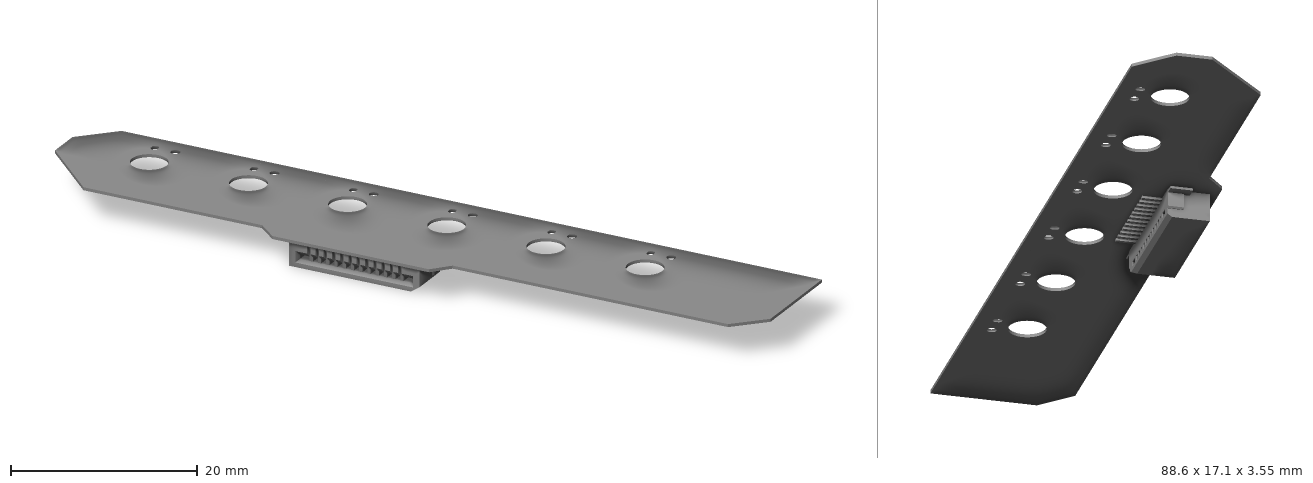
import cadquery as cq


board_length = 88.6
board_depth = 15.15
board_thickness = 0.35
tab_reach = 2.0
tab_left = 31.2
tab_right = 50.15
tab_left_slant = 2.3
tab_right_slant = 1.8
rear_left_corner = 3.9
front_left_corner = 7.3
front_right_corner = 3.4

group_count = 6
first_group_x = 10.4
last_group_x = 70.35
group_pitch = (last_group_x - first_group_x) / (group_count - 1)
large_hole_diameter = 4.2
large_hole_y = -5.9
small_hole_diameter = 1.1
small_row_y = -2.3
small_hole_offset = 1.2
slot_offset = -small_hole_offset
slot_width = 0.8
slot_length = 1.1

housing_left = 32.7
housing_width = 15.8
housing_rear = -11.5
housing_front = -16.2
housing_height = 3.2
end_corner_width = 1.1
end_corner_height = 0.7
rear_chamfer_depth = 0.5
rear_chamfer_height = 0.35

side_block_reach = 0.3
side_block_depth = 1.8
side_block_height = 2.2
side_block_bevel = 0.2
ear_reach = 1.3
ear_depth = 2.5
ear_thickness = 0.3
ear_gap = 0.2

opening_width = 13.7
opening_top = -1.9
opening_bottom = -2.4
mouth_side_flare = 0.3
mouth_top_flare = 0.5
mouth_bottom_flare = 0.3
mouth_depth = 0.5

contact_count = 12
contact_span = 11.0
contact_pitch = contact_span / (contact_count - 1)
contact_width = 0.4
contact_top = -0.4
contact_recess = 0.5
tail_length = 2.2
tail_thickness = 0.3

housing_right = housing_left + housing_width
housing_center = housing_left + housing_width / 2
housing_bottom = -housing_height


def block(x0, x1, y0, y1, z0, z1):
    """Axis-aligned box given by its limits."""
    return cq.Workplane("XY").box(x1 - x0, y1 - y0, z1 - z0, centered=False).translate((x0, y0, z0))


def make_board():
    tab_front = -board_depth - tab_reach
    outline = [
        (rear_left_corner, 0),
        (board_length, 0),
        (board_length, front_right_corner - board_depth),
        (board_length - front_right_corner, -board_depth),
        (tab_right + tab_right_slant, -board_depth),
        (tab_right, tab_front),
        (tab_left, tab_front),
        (tab_left - tab_left_slant, -board_depth),
        (front_left_corner, -board_depth),
        (0, front_left_corner - board_depth),
        (0, -rear_left_corner),
    ]
    board = cq.Workplane("XY").polyline(outline).close().extrude(board_thickness)

    group_xs = [first_group_x + i * group_pitch for i in range(group_count)]
    large_holes = (
        cq.Workplane("XY")
        .pushPoints([(x, large_hole_y) for x in group_xs])
        .circle(large_hole_diameter / 2)
        .extrude(board_thickness)
    )
    small_holes = (
        cq.Workplane("XY")
        .pushPoints([(x + small_hole_offset, small_row_y) for x in group_xs])
        .circle(small_hole_diameter / 2)
        .extrude(board_thickness)
    )
    slots = (
        cq.Workplane("XY")
        .pushPoints([(x + slot_offset, small_row_y) for x in group_xs])
        .slot2D(slot_length, slot_width, 90)
        .extrude(board_thickness)
    )
    return board.cut(large_holes).cut(small_holes).cut(slots)


def make_housing_shell():
    """Closed housing block with its cut corner and rear bevel."""
    front_profile = [
        (housing_left, 0),
        (housing_right, 0),
        (housing_right, housing_bottom + end_corner_height),
        (housing_right - end_corner_width, housing_bottom),
        (housing_left, housing_bottom),
    ]
    shell = (
        cq.Workplane("XZ", origin=(0, housing_rear, 0))
        .polyline(front_profile)
        .close()
        .extrude(housing_rear - housing_front)
    )
    rear_bevel = (
        cq.Workplane("YZ", origin=(housing_left, 0, 0))
        .polyline([
            (housing_rear, housing_bottom),
            (housing_rear - rear_chamfer_depth, housing_bottom),
            (housing_rear, housing_bottom + rear_chamfer_height),
        ])
        .close()
        .extrude(housing_width)
    )
    return shell.cut(rear_bevel)


def make_side_mounts():
    """Bevelled side block and thin solder ear on each end of the housing."""
    side_blocks = block(
        housing_left - side_block_reach, housing_right + side_block_reach,
        housing_rear - side_block_depth, housing_rear,
        -side_block_height, 0,
    ).edges("|Y and <Z").chamfer(side_block_bevel)
    ears = block(
        housing_left - ear_reach, housing_right + ear_reach,
        housing_rear - ear_depth, housing_rear,
        -ear_gap - ear_thickness, -ear_gap,
    )
    return side_blocks.union(ears)


def make_cable_opening():
    """Flat passage through the housing, flared at its front mouth."""
    left = housing_center - opening_width / 2
    right = housing_center + opening_width / 2
    passage = block(left, right, housing_front, housing_rear, opening_bottom, opening_top)

    mouth_height = opening_top - opening_bottom + mouth_top_flare + mouth_bottom_flare
    mouth_z = (opening_top + mouth_top_flare + opening_bottom - mouth_bottom_flare) / 2
    throat_z = (opening_top + opening_bottom) / 2
    mouth = (
        cq.Workplane("XZ", origin=(housing_center, housing_front, 0))
        .center(0, mouth_z)
        .rect(opening_width + 2 * mouth_side_flare, mouth_height)
        .workplane(offset=-mouth_depth)
        .center(0, throat_z - mouth_z)
        .rect(opening_width, opening_top - opening_bottom)
        .loft(ruled=True)
    )
    return passage.union(mouth)


def make_connector():
    contact_xs = [housing_center - contact_span / 2 + i * contact_pitch for i in range(contact_count)]
    contact_front = housing_front + contact_recess

    connector = make_housing_shell().union(make_side_mounts()).cut(make_cable_opening())
    for x in contact_xs:
        x0 = x - contact_width / 2
        x1 = x + contact_width / 2
        groove = block(x0, x1, housing_front, contact_front, opening_bottom, contact_top)
        bar = block(x0, x1, contact_front, housing_rear, opening_bottom, contact_top)
        tail = block(x0, x1, housing_rear, housing_rear + tail_length, -tail_thickness, 0)
        connector = connector.cut(groove).union(bar).union(tail)
    return connector


board = make_board()
connector = make_connector()

result = cq.Compound.makeCompound([board.val(), connector.val()])